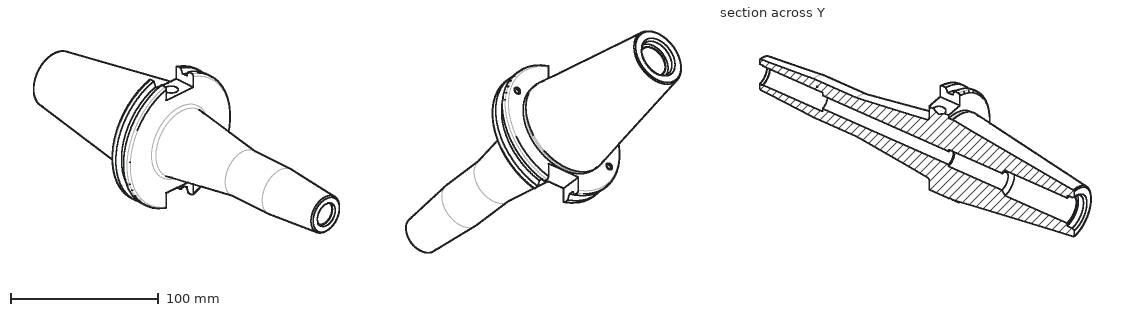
import cadquery as cq
import math

total_length = 261.5

gauge_x = 101.0
gauge_radius = 34.92
taper_ratio = 7 / 24
taper_tip_radius = gauge_radius - gauge_x * taper_ratio / 2
tip_chamfer = 0.8
relief_radius = 69.3 / 2
relief_x = 102.5

flange_x = 104.5
flange_width = 16.5
flange_end_x = flange_x + flange_width
flange_middle_x = flange_x + flange_width / 2
flange_radius = 98.0 / 2
rim_round = 1.5
groove_middle_x = 112.5
groove_depth = 3.7
groove_mouth_width = 7.3
groove_floor_width = 4.0
groove_floor_radius = flange_radius - groove_depth

root_fillet = 2.0
nose_root_radius = 25.0
shank_x = 181.3
shank_radius = 34 / 2
nose_cone_x = 216.9
nose_end_radius = 13.5
nose_chamfer = 1.0

mouth_radius = 14.5
mouth_cone_length = 1.8
counterbore_radius = 26.2 / 2
counterbore_depth = 6.0
drawbar_radius = 21.5 / 2
drawbar_chamfer = 0.3
drawbar_depth = 57.5
drawbar_cone_length = 2.5
relief_bore_radius = 14.0 / 2
relief_bore_depth = 104.6
through_radius = 11.0 / 2
tool_bore_radius = 16.0 / 2
tool_bore_depth = 52.3
tool_mouth_radius = 17.0 / 2
tool_mouth_depth = 2.5

slot_width = 25.6
upper_slot_floor = 37.1
lower_slot_floor = 35.0
dimple_diameter = 9.5
drill_point_angle = 118

coolant_angle = 19.7
coolant_circle_radius = 41.9
coolant_mouth_diameter = 5.0
coolant_mouth_depth = 1.0
coolant_diameter = 3.7


def revolve_about_x(profile):
    return profile.close().revolve(360, (0, 0, 0), (1, 0, 0))


def make_body():
    rim_middle = rim_round * (1 - math.sqrt(0.5))
    root_middle = root_fillet * (1 - math.sqrt(0.5))
    rim_side_radius = flange_radius - rim_round
    profile = (
        cq.Workplane("XY")
        .lineTo(0, taper_tip_radius - tip_chamfer)
        .lineTo(tip_chamfer, taper_tip_radius + tip_chamfer * taper_ratio / 2)
        .lineTo(gauge_x, gauge_radius)
        .lineTo(relief_x, relief_radius)
        .lineTo(flange_x, relief_radius)
        .lineTo(flange_x, rim_side_radius)
        .threePointArc(
            (flange_x + rim_middle, flange_radius - rim_middle),
            (flange_x + rim_round, flange_radius),
        )
        .lineTo(groove_middle_x - groove_mouth_width / 2, flange_radius)
        .lineTo(groove_middle_x - groove_floor_width / 2, groove_floor_radius)
        .lineTo(groove_middle_x + groove_floor_width / 2, groove_floor_radius)
        .lineTo(groove_middle_x + groove_mouth_width / 2, flange_radius)
        .lineTo(flange_end_x - rim_round, flange_radius)
        .threePointArc(
            (flange_end_x - rim_middle, flange_radius - rim_middle),
            (flange_end_x, rim_side_radius),
        )
        .lineTo(flange_end_x, nose_root_radius + root_fillet)
        .threePointArc(
            (flange_end_x + root_middle, nose_root_radius + root_middle),
            (flange_end_x + root_fillet, nose_root_radius),
        )
        .lineTo(shank_x, shank_radius)
        .lineTo(nose_cone_x, shank_radius)
        .lineTo(total_length - nose_chamfer, nose_end_radius)
        .lineTo(total_length, nose_end_radius - nose_chamfer)
        .lineTo(total_length, 0)
    )
    return revolve_about_x(profile)


def make_bore():
    tool_bore_x = total_length - tool_bore_depth
    tool_mouth_x = total_length - tool_mouth_depth
    profile = (
        cq.Workplane("XY")
        .lineTo(0, mouth_radius)
        .lineTo(mouth_cone_length, counterbore_radius)
        .lineTo(counterbore_depth, counterbore_radius)
        .lineTo(counterbore_depth, drawbar_radius + drawbar_chamfer)
        .lineTo(counterbore_depth + drawbar_chamfer, drawbar_radius)
        .lineTo(drawbar_depth, drawbar_radius)
        .lineTo(drawbar_depth + drawbar_cone_length, relief_bore_radius)
        .lineTo(relief_bore_depth, relief_bore_radius)
        .lineTo(relief_bore_depth, through_radius)
        .lineTo(tool_bore_x, through_radius)
        .lineTo(tool_bore_x, tool_bore_radius)
        .lineTo(tool_mouth_x, tool_bore_radius)
        .lineTo(tool_mouth_x, tool_mouth_radius)
        .lineTo(total_length, tool_mouth_radius)
        .lineTo(total_length, 0)
    )
    return revolve_about_x(profile)


def make_drive_slot(side, floor_height):
    slot_height = flange_radius - floor_height
    middle_z = side * (floor_height + slot_height / 2)
    return (
        cq.Workplane("XY")
        .box(flange_width, slot_width, slot_height)
        .translate((flange_middle_x, 0, middle_z))
    )


def make_dimple():
    radius = dimple_diameter / 2
    point_length = radius / math.tan(math.radians(drill_point_angle / 2))
    return (
        cq.Workplane("XZ")
        .lineTo(radius, 0)
        .lineTo(0, -point_length)
        .close()
        .revolve(360, (0, 0, 0), (0, 1, 0))
        .translate((flange_middle_x, 0, upper_slot_floor))
    )


def make_coolant_holes():
    """Axial hole from the taper side meeting a radial hole from the groove, on the +Y side."""
    axial_length = groove_middle_x - flange_x
    axial_start = cq.Workplane("YZ", origin=(flange_x, coolant_circle_radius, 0))
    axial = axial_start.circle(coolant_diameter / 2).extrude(axial_length)
    mouth = axial_start.circle(coolant_mouth_diameter / 2).extrude(coolant_mouth_depth)
    radial = (
        cq.Workplane("XZ", origin=(groove_middle_x, coolant_circle_radius, 0))
        .circle(coolant_diameter / 2)
        .extrude(coolant_circle_radius - flange_radius)
    )
    return axial.union(mouth).union(radial)


result = make_body().cut(make_bore())

result = result.cut(make_drive_slot(1, upper_slot_floor))
result = result.cut(make_drive_slot(-1, lower_slot_floor))
result = result.cut(make_dimple())

coolant_holes = make_coolant_holes()
for turn in (0, 180):
    result = result.cut(coolant_holes.rotate((0, 0, 0), (1, 0, 0), coolant_angle + turn))